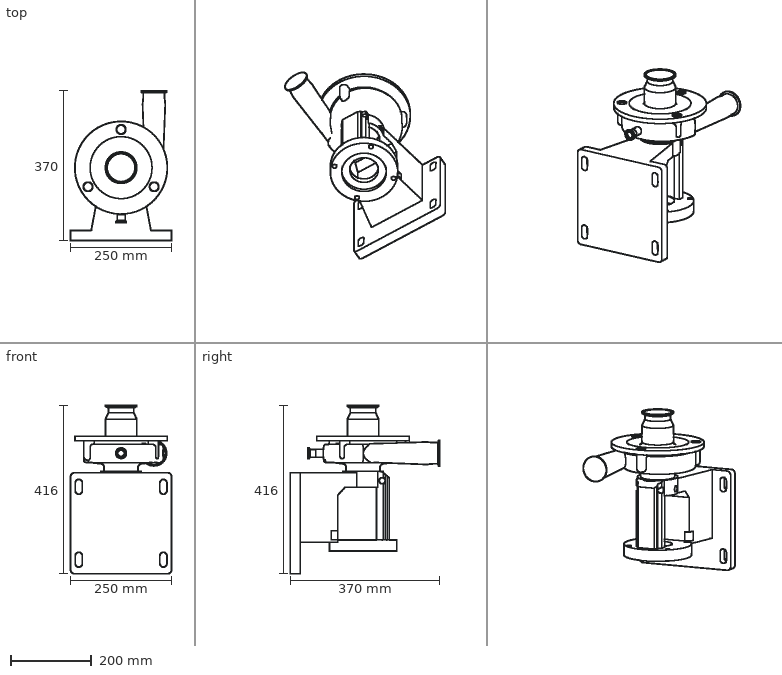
import cadquery as cq
import math


PLATE_SIZE = 250.0
PLATE_THICKNESS = 25.0
PLATE_BACK_Y = -180.0
PLATE_FRONT_Y = PLATE_BACK_Y + PLATE_THICKNESS
PLATE_CORNER_R = 10.0
SLOT_LENGTH = 36.0
SLOT_WIDTH = 17.0
SLOT_SPACING_X = 209.0
SLOT_SPACING_Z = 180.0

RING_R = 50.0
RING_TOP_Z = 3.0
RING_BOTTOM_Z = -36.5
BRACKET_BORE_R = 38.5
RING_HOLE_R = 7.3
RING_HOLE_Z = -23.6

WEB_START_Y = -15.0
WEB_START_HALF_WIDTH = math.sqrt(RING_R**2 - WEB_START_Y**2)
WEB_END_HALF_WIDTH = 74.0
WEB_OPENING_Y = -62.0
WEB_BOTTOM_Z = -172.5
WEB_CHAMFER_Y = 17.5
WEB_CHAMFER_Z = 19.0

MOTOR_FLANGE_R = 83.5
MOTOR_FLANGE_TOP_Z = -166.0
MOTOR_FLANGE_THICKNESS = 28.0
MOTOR_FLANGE_BORE_R = 35.3
MOTOR_PILOT_R = 55.0
MOTOR_PILOT_DEPTH = 11.0
MOTOR_BOLT_CIRCLE_R = 75.0
MOTOR_BOLT_HOLE_R = 5.3
MOTOR_BOLT_COUNT = 4
MOTOR_BOLT_START_ANGLE = 45
BOLT_RELIEF_SIZE = 16.0
BOLT_RELIEF_TOP_Z = -143.0

LEG_HALF_WIDTH = 35.0
LEG_STEP_HALF_WIDTH = 27.0
LEG_INNER_Y = 33.0
LEG_STEP_START_Y = 49.6
LEG_STEP_END_Y = 54.4
LEG_OUTER_Y = 65.3
LEG_EDGE_CHAMFER = 5.1
LEG_TOP_CHAMFER_Y = 19.3
LEG_TOP_CHAMFER_Z = 16.0
LEG_HOLE_R = 7.3
LEG_HOLE_Y = 47.5
LEG_HOLE_Z = -20.0

NECK_R = 42.3
NECK_FLARE_R = 8.0
CASING_CENTRE_Z = 48.0
CASING_TOP_Z = 70.0
CASING_RIM_Z = 25.0
CASING_FLOOR_Z = 21.5
VOLUTE_START_R = 82.4
VOLUTE_GROWTH_PER_TURN = 20.3
VOLUTE_START_ANGLE = 30
VOLUTE_END_ANGLE = 270
VOLUTE_EXIT_X = 104.0
VOLUTE_ANGLE_STEP = 30
CASING_EDGE_R = 6.5
CASING_RING_R = 84.0
CASING_RING_FOOT_R = 2.5

COVER_R = 114.6
COVER_BOTTOM_Z = 78.5
COVER_TOP_Z = 90.0
DISH_RIM_R = 76.6
DISH_WALL_R = 71.0
DISH_FLOOR_OUTER_R = 60.3
DISH_FLOOR_INNER_R = 54.0
DISH_WALL_Z = 83.8
DISH_FLOOR_Z = 79.0

STUD_COUNT = 3
STUD_CIRCLE_R = 94.3
STUD_POST_R = 10.8
STUD_POST_END_Z = 40.8
STUD_FLANK_START_R = 78.0
STUD_RECESS_DEPTH = 4.0
STUD_RECESS_CHAMFER = 0.9

INLET_R = 39.0
INLET_NECK_R = 31.7
INLET_TAPER_START_Z = 132.0
INLET_TAPER_END_Z = 148.0
INLET_TOP_Z = 166.0
INLET_FLANGE_R = INLET_R
INLET_FLANGE_THICKNESS = 2.5
INLET_FLANGE_BEVEL = 3.5
INLET_GROOVE_CENTRE_R = 35.8
INLET_GROOVE_R = 1.5

OUTLET_X = 81.1
OUTLET_END_Y = 190.0
OUTLET_ROOT_R = 22.3
OUTLET_MAX_R = 28.3
OUTLET_NECK_R = 26.5
OUTLET_MAX_Y = 156.7
OUTLET_NECK_START_Y = 173.3
OUTLET_FLANGE_R = 31.6
OUTLET_FLANGE_THICKNESS = 3.5
OUTLET_FLANGE_BEVEL = 2.0

DRAIN_R = 10.0
DRAIN_BORE_R = 8.0
DRAIN_BORE_DEPTH = 20.0
DRAIN_END_Y = -136.5
DRAIN_FLANGE_R = 13.2
DRAIN_FLANGE_THICKNESS = 3.5
DRAIN_FLANGE_BEVEL = 2.5
DRAIN_GROOVE_CENTRE_R = 10.7
DRAIN_GROOVE_R = 1.0


def cylinder_z(radius, bottom_z, top_z, x=0.0, y=0.0):
    """Upright cylinder between two heights."""
    base = cq.Workplane("XY", origin=(x, y, bottom_z))
    return base.circle(radius).extrude(top_z - bottom_z)


def cylinder_x(radius, start_x, end_x, y, z):
    """Cylinder lying along X between two X positions."""
    base = cq.Workplane("YZ", origin=(start_x, y, z))
    return base.circle(radius).extrude(end_x - start_x)


def mounting_plate():
    """Square plate with rounded corners and four upright slots."""
    centre = (0, PLATE_FRONT_Y, -PLATE_SIZE / 2)
    face = cq.Workplane("XZ", origin=centre)
    plate = face.rect(PLATE_SIZE, PLATE_SIZE).extrude(PLATE_THICKNESS)
    plate = plate.edges("|Y").fillet(PLATE_CORNER_R)
    slots = (
        face.rect(SLOT_SPACING_X, SLOT_SPACING_Z, forConstruction=True)
        .vertices()
        .slot2D(SLOT_LENGTH, SLOT_WIDTH, 90)
        .extrude(PLATE_THICKNESS)
    )
    return plate.cut(slots)


def bracket_web():
    """Tapered web from the ring to the plate, relieved at the motor bolts."""
    plan = (
        cq.Workplane("XY", origin=(0, 0, WEB_BOTTOM_Z))
        .moveTo(-WEB_START_HALF_WIDTH, WEB_START_Y)
        .lineTo(WEB_START_HALF_WIDTH, WEB_START_Y)
        .lineTo(WEB_END_HALF_WIDTH, PLATE_FRONT_Y)
        .lineTo(-WEB_END_HALF_WIDTH, PLATE_FRONT_Y)
        .close()
        .extrude(-WEB_BOTTOM_Z)
    )
    side = (
        cq.Workplane("YZ", origin=(-WEB_END_HALF_WIDTH, 0, 0))
        .moveTo(WEB_START_Y, 0)
        .lineTo(WEB_START_Y, RING_BOTTOM_Z)
        .lineTo(WEB_OPENING_Y + WEB_CHAMFER_Y, RING_BOTTOM_Z)
        .lineTo(WEB_OPENING_Y, RING_BOTTOM_Z - WEB_CHAMFER_Z)
        .lineTo(WEB_OPENING_Y, WEB_BOTTOM_Z)
        .lineTo(PLATE_FRONT_Y, WEB_BOTTOM_Z)
        .lineTo(PLATE_FRONT_Y, 0)
        .close()
        .extrude(2 * WEB_END_HALF_WIDTH)
    )
    web = plan.intersect(side)

    slope = (WEB_END_HALF_WIDTH - WEB_START_HALF_WIDTH) / (WEB_START_Y - PLATE_FRONT_Y)
    relief_y = WEB_OPENING_Y - BOLT_RELIEF_SIZE
    relief_x = WEB_START_HALF_WIDTH + slope * (WEB_START_Y - relief_y)
    relief = (
        cq.Workplane("XY", origin=(0, 0, MOTOR_FLANGE_TOP_Z))
        .moveTo(-relief_x, relief_y)
        .lineTo(-relief_x, WEB_OPENING_Y)
        .lineTo(-relief_x + BOLT_RELIEF_SIZE, WEB_OPENING_Y)
        .close()
        .extrude(BOLT_RELIEF_TOP_Z - MOTOR_FLANGE_TOP_Z)
    )
    return web.cut(relief).cut(relief.mirror("YZ"))


def bracket_leg():
    """Stepped rear leg joining the ring to the motor flange."""
    tip_half_width = LEG_STEP_HALF_WIDTH - LEG_EDGE_CHAMFER
    right_side = [
        (LEG_HALF_WIDTH, LEG_INNER_Y),
        (LEG_HALF_WIDTH, LEG_STEP_START_Y),
        (LEG_STEP_HALF_WIDTH, LEG_STEP_END_Y),
        (LEG_STEP_HALF_WIDTH, LEG_OUTER_Y - LEG_EDGE_CHAMFER),
        (tip_half_width, LEG_OUTER_Y),
    ]
    left_side = [(-x, y) for x, y in reversed(right_side)]
    leg = (
        cq.Workplane("XY", origin=(0, 0, MOTOR_FLANGE_TOP_Z))
        .polyline(right_side + left_side)
        .close()
        .extrude(RING_TOP_Z - MOTOR_FLANGE_TOP_Z)
    )
    top_corner = (
        cq.Workplane("YZ", origin=(-LEG_HALF_WIDTH, 0, 0))
        .moveTo(LEG_OUTER_Y, RING_TOP_Z)
        .lineTo(LEG_OUTER_Y - LEG_TOP_CHAMFER_Y, RING_TOP_Z)
        .lineTo(LEG_OUTER_Y, RING_TOP_Z - LEG_TOP_CHAMFER_Z)
        .close()
        .extrude(2 * LEG_HALF_WIDTH)
    )
    return leg.cut(top_corner)


def bracket():
    """Bracket body with its bores and cross holes."""
    flange_bottom_z = MOTOR_FLANGE_TOP_Z - MOTOR_FLANGE_THICKNESS
    ring = cylinder_z(RING_R, RING_BOTTOM_Z, RING_TOP_Z)
    upper = ring.union(bracket_web()).union(bracket_leg())
    upper = upper.cut(cylinder_z(BRACKET_BORE_R, MOTOR_FLANGE_TOP_Z, RING_TOP_Z))
    upper = upper.cut(cylinder_x(RING_HOLE_R, -RING_R, 0, 0, RING_HOLE_Z))
    upper = upper.cut(
        cylinder_x(LEG_HOLE_R, -LEG_HALF_WIDTH, LEG_HALF_WIDTH, LEG_HOLE_Y, LEG_HOLE_Z)
    )

    flange = cylinder_z(MOTOR_FLANGE_R, flange_bottom_z, MOTOR_FLANGE_TOP_Z)
    flange = flange.faces(">Z").workplane().hole(2 * MOTOR_FLANGE_BORE_R)
    flange = (
        flange.faces(">Z")
        .workplane()
        .polarArray(MOTOR_BOLT_CIRCLE_R, MOTOR_BOLT_START_ANGLE, 360, MOTOR_BOLT_COUNT)
        .hole(2 * MOTOR_BOLT_HOLE_R)
    )
    pilot_top_z = flange_bottom_z + MOTOR_PILOT_DEPTH
    flange = flange.cut(cylinder_z(MOTOR_PILOT_R, flange_bottom_z, pilot_top_z))
    return upper.union(flange)


def volute_radius(angle):
    """Outer radius of the spiral casing at an angle in degrees from +X."""
    return VOLUTE_START_R + VOLUTE_GROWTH_PER_TURN * angle / 360


def volute_point(angle):
    """Point of the spiral casing outline at an angle in degrees from +X."""
    radius = volute_radius(angle)
    turn = math.radians(angle)
    return (radius * math.cos(turn), radius * math.sin(turn))


def casing():
    """Spiral casing with rounded edges, dished floor and flared neck."""
    final_r = volute_radius(VOLUTE_END_ANGLE)
    exit_centre_x = (VOLUTE_EXIT_X**2 - final_r**2) / (2 * VOLUTE_EXIT_X)
    exit_arc_r = VOLUTE_EXIT_X - exit_centre_x
    exit_offset = exit_arc_r * math.sqrt(0.5)
    exit_middle = (exit_centre_x + exit_offset, -exit_offset)
    angles = range(VOLUTE_START_ANGLE, VOLUTE_END_ANGLE + 1, VOLUTE_ANGLE_STEP)
    spiral = (
        cq.Workplane("XY", origin=(0, 0, CASING_RIM_Z))
        .spline([volute_point(angle) for angle in angles])
        .threePointArc(exit_middle, (VOLUTE_EXIT_X, 0))
        .close()
        .extrude(CASING_TOP_Z - CASING_RIM_Z)
        .faces("<Z or >Z")
        .edges()
        .fillet(CASING_EDGE_R)
    )
    floor_outer_r = VOLUTE_START_R - CASING_EDGE_R
    neck_flare_z = CASING_FLOOR_Z - NECK_FLARE_R
    flare_top_r = NECK_R + NECK_FLARE_R
    flare_mid_r = flare_top_r - NECK_FLARE_R * math.cos(math.pi / 4)
    flare_mid_z = neck_flare_z + NECK_FLARE_R * math.sin(math.pi / 4)
    base = (
        cq.Workplane("XZ")
        .moveTo(0, RING_TOP_Z)
        .lineTo(NECK_R, RING_TOP_Z)
        .lineTo(NECK_R, neck_flare_z)
        .threePointArc((flare_mid_r, flare_mid_z), (flare_top_r, CASING_FLOOR_Z))
        .lineTo(floor_outer_r, CASING_RIM_Z)
        .lineTo(0, CASING_RIM_Z)
        .close()
        .revolve(360, (0, 0, 0), (0, 1, 0))
    )
    foot_inset = CASING_RING_FOOT_R * (1 - math.sqrt(0.5))
    ring = (
        cq.Workplane("XZ")
        .moveTo(0, CASING_CENTRE_Z)
        .lineTo(CASING_RING_R, CASING_CENTRE_Z)
        .lineTo(CASING_RING_R, CASING_TOP_Z)
        .lineTo(CASING_RING_R + CASING_RING_FOOT_R, CASING_TOP_Z)
        .threePointArc(
            (CASING_RING_R + foot_inset, CASING_TOP_Z + foot_inset),
            (CASING_RING_R, CASING_TOP_Z + CASING_RING_FOOT_R),
        )
        .lineTo(CASING_RING_R, COVER_BOTTOM_Z)
        .lineTo(0, COVER_BOTTOM_Z)
        .close()
        .revolve(360, (0, 0, 0), (0, 1, 0))
    )
    return spiral.union(base).union(ring)


def stud_angles():
    """Directions of the studs in degrees from +X, the first on +Y."""
    return [90 + index * 360 / STUD_COUNT for index in range(STUD_COUNT)]


def stud_post():
    """Post on +X with flat flanks running into the casing and a rounded end."""
    post = cylinder_z(STUD_POST_R, STUD_POST_END_Z, COVER_BOTTOM_Z, STUD_CIRCLE_R)
    tip = cq.Workplane("XY").sphere(STUD_POST_R)
    tip = tip.translate((STUD_CIRCLE_R, 0, STUD_POST_END_Z))
    flank_length = STUD_CIRCLE_R - STUD_FLANK_START_R
    flank_height = COVER_BOTTOM_Z - STUD_POST_END_Z
    flanks = cq.Workplane("XY").box(
        flank_length, 2 * STUD_POST_R, flank_height, centered=(False, True, False)
    )
    flanks = flanks.translate((STUD_FLANK_START_R, 0, STUD_POST_END_Z))
    keel = cylinder_x(STUD_POST_R, STUD_FLANK_START_R, STUD_CIRCLE_R, 0, STUD_POST_END_Z)
    return post.union(tip).union(flanks).union(keel)


def stud_recess():
    """Chamfered blind recess in the cover above the post on +X."""
    floor_z = COVER_TOP_Z - STUD_RECESS_DEPTH
    recess = cylinder_z(STUD_POST_R, floor_z, COVER_TOP_Z, STUD_CIRCLE_R)
    rim = (
        cq.Workplane("XY", origin=(STUD_CIRCLE_R, 0, COVER_TOP_Z))
        .circle(STUD_POST_R + STUD_RECESS_CHAMFER)
        .extrude(-STUD_RECESS_CHAMFER, taper=45)
    )
    return recess.union(rim)


def cover():
    """Cover disc with a dished channel around the inlet and stud posts below."""
    disc = cylinder_z(COVER_R, COVER_BOTTOM_Z, COVER_TOP_Z)
    channel = (
        cq.Workplane("XZ")
        .moveTo(DISH_RIM_R, COVER_TOP_Z)
        .lineTo(DISH_WALL_R, DISH_WALL_Z)
        .tangentArcPoint((DISH_FLOOR_OUTER_R, DISH_FLOOR_Z), relative=False)
        .lineTo(DISH_FLOOR_INNER_R, DISH_FLOOR_Z)
        .tangentArcPoint((INLET_R, COVER_TOP_Z), relative=False)
        .close()
        .revolve(360, (0, 0, 0), (0, 1, 0))
    )
    disc = disc.cut(channel)
    post = stud_post()
    recess = stud_recess()
    for angle in stud_angles():
        disc = disc.union(post.rotate((0, 0, 0), (0, 0, 1), angle))
        disc = disc.cut(recess.rotate((0, 0, 0), (0, 0, 1), angle))
    return disc


def inlet():
    """Suction pipe, reduced to a neck and ending in a grooved clamp flange."""
    flange_z = INLET_TOP_Z - INLET_FLANGE_THICKNESS
    pipe = (
        cq.Workplane("XZ")
        .moveTo(0, CASING_CENTRE_Z)
        .lineTo(INLET_R, CASING_CENTRE_Z)
        .lineTo(INLET_R, INLET_TAPER_START_Z)
        .lineTo(INLET_NECK_R, INLET_TAPER_END_Z)
        .lineTo(INLET_NECK_R, flange_z - INLET_FLANGE_BEVEL)
        .lineTo(INLET_FLANGE_R, flange_z)
        .lineTo(INLET_FLANGE_R, INLET_TOP_Z)
        .lineTo(0, INLET_TOP_Z)
        .close()
        .revolve(360, (0, 0, 0), (0, 1, 0))
    )
    groove = cq.Solid.makeTorus(
        INLET_GROOVE_CENTRE_R, INLET_GROOVE_R, cq.Vector(0, 0, INLET_TOP_Z)
    )
    return pipe.cut(cq.Workplane(groove))


def outlet():
    """Discharge pipe widening towards its clamp flange."""
    flange_y = OUTLET_END_Y - OUTLET_FLANGE_THICKNESS
    return (
        cq.Workplane("XY", origin=(OUTLET_X, 0, CASING_CENTRE_Z))
        .lineTo(OUTLET_ROOT_R, 0)
        .lineTo(OUTLET_MAX_R, OUTLET_MAX_Y)
        .lineTo(OUTLET_NECK_R, OUTLET_NECK_START_Y)
        .lineTo(OUTLET_NECK_R, flange_y - OUTLET_FLANGE_BEVEL)
        .lineTo(OUTLET_FLANGE_R, flange_y)
        .lineTo(OUTLET_FLANGE_R, OUTLET_END_Y)
        .lineTo(0, OUTLET_END_Y)
        .close()
        .revolve(360, (0, 0, 0), (0, 1, 0))
    )


def drain():
    """Small drain stub with a clamp flange."""
    flange_y = DRAIN_END_Y + DRAIN_FLANGE_THICKNESS
    return (
        cq.Workplane("XY", origin=(0, 0, CASING_CENTRE_Z))
        .lineTo(DRAIN_R, 0)
        .lineTo(DRAIN_R, flange_y + DRAIN_FLANGE_BEVEL)
        .lineTo(DRAIN_FLANGE_R, flange_y)
        .lineTo(DRAIN_FLANGE_R, DRAIN_END_Y)
        .lineTo(0, DRAIN_END_Y)
        .close()
        .revolve(360, (0, 0, 0), (0, 1, 0))
    )


def drain_cuts():
    """Blind bore and gasket groove in the end of the drain."""
    base = cq.Workplane("XZ", origin=(0, DRAIN_END_Y, CASING_CENTRE_Z))
    bore = base.circle(DRAIN_BORE_R).extrude(-DRAIN_BORE_DEPTH)
    groove = cq.Solid.makeTorus(
        DRAIN_GROOVE_CENTRE_R,
        DRAIN_GROOVE_R,
        cq.Vector(0, DRAIN_END_Y, CASING_CENTRE_Z),
        cq.Vector(0, 1, 0),
    )
    return bore.union(cq.Workplane(groove))


support = mounting_plate().union(bracket())
pump = casing().union(cover()).union(inlet()).union(outlet()).union(drain())
result = support.union(pump).cut(drain_cuts())